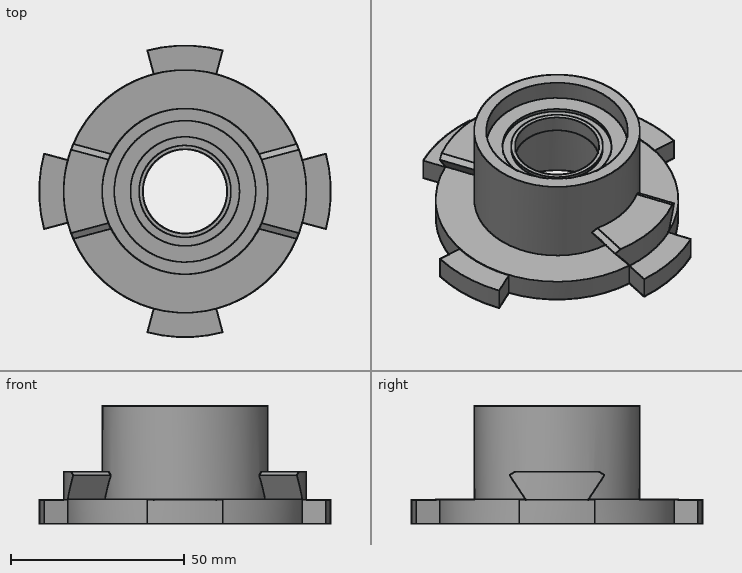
import cadquery as cq
import math

outer_radius = 42.1
flange_radius = 70.0 / 2
flange_height = 7.1
tab_height = 6.9
tab_count = 4
sector_half_angle = 15.0

total_height = 34.0
hub_radius = 47.8 / 2
top_recess_radius = 40.8 / 2
top_recess_depth = 6.0
bottom_recess_radius = 40.0 / 2
web_thickness = 5.05
bore_radius = 24.2 / 2
groove_inner_radius = 26.5 / 2
groove_outer_radius = 31.5 / 2
groove_depth = 1.0

lug_top = 15.1
lug_bevel_base = 14.05
lug_overhang = 4.9
lug_top_offset = 3.1

web_top = total_height - top_recess_depth
web_bottom = web_top - web_thickness


def cylinder(radius, bottom, top):
    return cq.Workplane("XY").workplane(offset=bottom).circle(radius).extrude(top - bottom)


def make_tab(direction):
    """Sector from the axis to the outer radius, centred on +X, then turned."""
    half_angle = math.radians(sector_half_angle)
    x = outer_radius * math.cos(half_angle)
    y = outer_radius * math.sin(half_angle)
    tab = (
        cq.Workplane("XY")
        .moveTo(0, 0)
        .lineTo(x, -y)
        .threePointArc((outer_radius, 0), (x, y))
        .close()
        .extrude(tab_height)
    )
    return tab.rotate((0, 0, 0), (0, 0, 1), direction)


def make_flank_prism(side):
    """Prism along one edge of the +X sector, filling everything inward of that flank."""
    inward = -flange_radius
    profile = [
        (inward, flange_height),
        (0, flange_height),
        (lug_overhang, lug_bevel_base),
        (lug_top_offset, lug_top),
        (inward, lug_top),
    ]
    prism = (
        cq.Workplane("YZ")
        .polyline([(side * offset, z) for offset, z in profile])
        .close()
        .extrude(flange_radius)
    )
    return prism.rotate((0, 0, 0), (0, 0, 1), side * sector_half_angle)


def make_lug(direction):
    """Part of the flange-sized disc that lies inward of both flanks."""
    lug = cylinder(flange_radius, flange_height, lug_top)
    for side in (1, -1):
        lug = lug.intersect(make_flank_prism(side))
    return lug.rotate((0, 0, 0), (0, 0, 1), direction)


body = cylinder(flange_radius, 0, flange_height)
body = body.union(cylinder(hub_radius, 0, total_height))

for index in range(tab_count):
    body = body.union(make_tab(index * 360 / tab_count))

for direction in (0, 180):
    body = body.union(make_lug(direction))

body = body.cut(cylinder(top_recess_radius, web_top, total_height))
body = body.cut(cylinder(bottom_recess_radius, 0, web_bottom))
body = body.cut(cylinder(bore_radius, web_bottom, web_top))

groove = cylinder(groove_outer_radius, web_top - groove_depth, web_top).cut(
    cylinder(groove_inner_radius, web_top - groove_depth, web_top)
)
result = body.cut(groove)